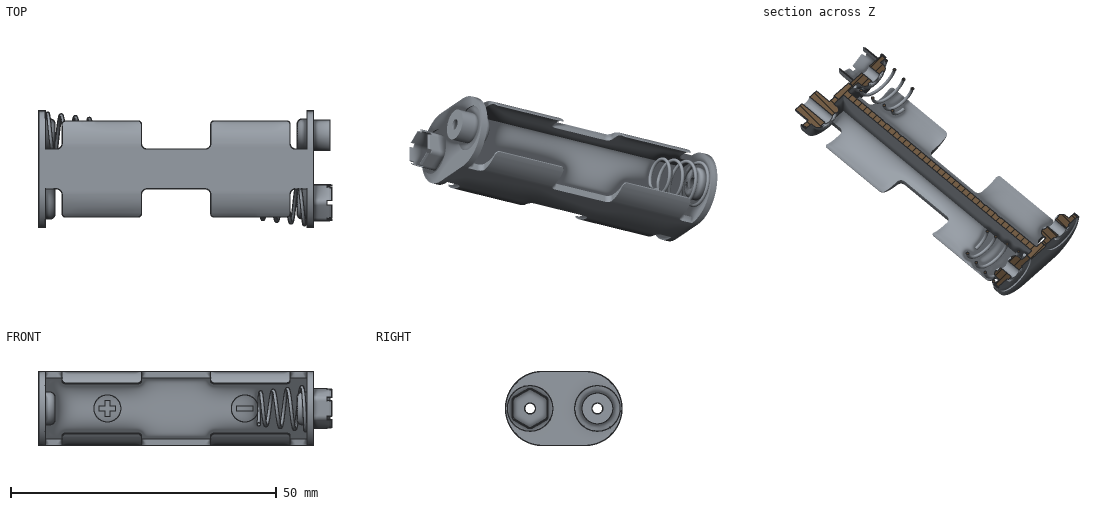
import cadquery as cq
import math


length = 51.82
height = 14.0
width = 22.0
wall = 1.27
cell_spacing = 12.7

cell_y = cell_spacing / 2
end_radius = height / 2
end_center_y = width / 2 - end_radius
flange_inner_z = height / 2 - wall

waist_half_width = 3.77
clip_length = 15.0
clip_half_width = 9.08
clip_end_gap = 4.4
clip_root_radius = 1.0
clip_corner_radius = 0.7
clip_lip = 0.17
clip_bend_y = 6.05

mark_diameter = 5.1
mark_depth = 0.1
mark_bar_length = 3.1
mark_bar_width = 0.9
groove_start_x = 20.75
groove_end_x = 33.4
groove_width = 1.14
groove_depth = 0.3

barrel_radius = 4.3
dome_radius = 3.1
dome_height = 1.85
dome_round = 1.05
bore_radius = 1.0
barrel_recess = 0.25
rim_radius = 2.0
rim_valley_radius = 1.3
rim_point_count = 36
rim_depth = 0.25

wire_radius = 0.31
spring_tip_height = 9.05
spring_seat_height = 0.27
spring_tip_radius = 3.0
spring_seat_radius = 4.1
tip_ramp_turns = 1.0
full_pitch_turns = 2.5
seat_ramp_turns = 0.5
seat_flat_turns = 0.25
points_per_turn = 16

stud_radius = 2.9
stud_length = 3.13
socket_length = 3.45
socket_apothem = 3.42
socket_corner_radius = 1.0
socket_wall = 0.22
socket_slit_width = 0.8
socket_slit_depth = 0.87
socket_tip_chamfer_length = 0.45
socket_tip_chamfer = 0.1
hexagon_sides = 6


def flange_half():
    """One half of a flange: flat beside the web, then curling down to a thin lip."""
    rim_offset = clip_half_width - end_center_y
    rim_z = math.sqrt(end_radius ** 2 - rim_offset ** 2)
    half_angle = math.asin(rim_offset / end_radius) / 2
    outer_middle = (
        end_center_y + end_radius * math.sin(half_angle),
        end_radius * math.cos(half_angle),
    )
    lip_z = rim_z - clip_lip
    reach = clip_half_width - clip_bend_y
    drop = flange_inner_z - lip_z
    inner_radius = (reach ** 2 + drop ** 2) / (2 * drop)
    inner_half_angle = math.asin(reach / inner_radius) / 2
    inner_middle = (
        clip_bend_y + inner_radius * math.sin(inner_half_angle),
        flange_inner_z - inner_radius * (1 - math.cos(inner_half_angle)),
    )
    return (
        cq.Workplane("YZ")
        .moveTo(0, end_radius)
        .lineTo(end_center_y, end_radius)
        .threePointArc(outer_middle, (clip_half_width, rim_z))
        .lineTo(clip_half_width, lip_z)
        .threePointArc(inner_middle, (clip_bend_y, flange_inner_z))
        .lineTo(0, flange_inner_z)
        .close()
        .extrude(length)
    )


def flange_plan():
    """Outline of the flanges from above: a narrow waist with two pairs of clips."""
    waist = cq.Workplane("XY").box(length, 2 * waist_half_width, height).translate((length / 2, 0, 0))
    plan = waist
    clip_offset = length / 2 - clip_end_gap - clip_length / 2
    for side in (-1, 1):
        clip_x = length / 2 + side * clip_offset
        clip = cq.Workplane("XY").box(clip_length, 2 * clip_half_width, height)
        plan = plan.union(clip.translate((clip_x, 0, 0)))
    waist_zone = cq.selectors.BoxSelector(
        (clip_end_gap / 2, -end_center_y, -height), (length - clip_end_gap / 2, end_center_y, height)
    )
    plan = plan.edges("|Z").edges(waist_zone).fillet(clip_root_radius)
    return plan.edges("|Z").edges("<Y or >Y").fillet(clip_corner_radius)


def end_plate(start_x):
    return (
        cq.Workplane("YZ")
        .slot2D(width, height)
        .extrude(wall)
        .translate((start_x, 0, 0))
    )


def mark_recess(center_x, bar_angles):
    """Shallow round recess in the web, with the polarity bars left standing in it."""
    recess = (
        cq.Workplane("XZ", origin=(center_x, -wall / 2, 0))
        .circle(mark_diameter / 2)
        .extrude(-mark_depth)
    )
    for angle in bar_angles:
        bar = (
            cq.Workplane("XZ", origin=(center_x, -wall / 2, 0))
            .transformed(rotate=(0, 0, angle))
            .rect(mark_bar_length, mark_bar_width)
            .extrude(-mark_depth)
        )
        recess = recess.cut(bar)
    return recess


def floor_groove():
    """Shallow groove in the lower flange, along the foot of the web."""
    return cq.Workplane("XY").box(
        groove_end_x - groove_start_x, groove_width, groove_depth, centered=False
    ).translate((groove_start_x, -wall / 2 - groove_width, -flange_inner_z - groove_depth))


def make_housing():
    half = flange_half()
    upper_flange = half.union(half.mirror("XZ"))
    flanges = upper_flange.union(upper_flange.mirror("XY")).intersect(flange_plan())
    web = cq.Workplane("XY").box(length, wall, height).translate((length / 2, 0, 0))
    body = flanges.union(web)
    for start_x in (0, length - wall):
        body = body.union(end_plate(start_x))
    body = body.cut(mark_recess(length / 4, (0, 90)))
    body = body.cut(mark_recess(length * 3 / 4, (0,)))
    body = body.cut(floor_groove())
    barrel_holes = (
        cq.Workplane("YZ")
        .pushPoints([(-cell_y, 0), (cell_y, 0)])
        .circle(barrel_radius)
        .extrude(length)
    )
    between_plates = cq.Workplane("XY").box(length - 2 * wall, width, height).translate((length / 2, 0, 0))
    return body.cut(barrel_holes.cut(between_plates))


def rim_star(start_x, depth):
    """Star-shaped prism around the bore, from start_x along +X."""
    points = []
    for i in range(2 * rim_point_count):
        angle = math.pi * i / rim_point_count
        radius = rim_radius if i % 2 == 0 else rim_valley_radius
        points.append((radius * math.cos(angle), radius * math.sin(angle)))
    return cq.Workplane("YZ", origin=(start_x, 0, 0)).polyline(points).close().extrude(depth)


def contact_head():
    """Barrel through the end plate, with a rounded button facing the cell."""
    barrel = (
        cq.Workplane("YZ", origin=(barrel_recess - wall, 0, 0))
        .circle(barrel_radius)
        .extrude(wall - barrel_recess)
    )
    dome = cq.Workplane("YZ").circle(dome_radius).extrude(dome_height).faces(">X").edges().fillet(dome_round)
    return barrel.union(dome).cut(rim_star(dome_height - rim_depth, rim_depth))


def bore(contact, depth_outside):
    """Through hole along the contact, from its outer end to the top of the button."""
    start = -wall - depth_outside
    hole = cq.Workplane("YZ", origin=(start, 0, 0)).circle(bore_radius).extrude(dome_height - start)
    return contact.cut(hole)


def add_outer_rim(contact):
    """Raised star-shaped rim on the barrel's outer face, level with the end plate."""
    return contact.union(rim_star(-wall, barrel_recess))


def spring_drop(turn):
    """Distance along the axis from the spring's tip after a number of turns, in full pitches."""
    ramp_end = tip_ramp_turns + full_pitch_turns
    if turn <= tip_ramp_turns:
        return turn ** 2 / (2 * tip_ramp_turns)
    if turn <= ramp_end:
        return turn - tip_ramp_turns / 2
    past = min(turn - ramp_end, seat_ramp_turns)
    return ramp_end - tip_ramp_turns / 2 + past - past ** 2 / (2 * seat_ramp_turns)


def spring_point(turn):
    """Wire centre on the conical spring; the tip starts below the axis."""
    total_turns = tip_ramp_turns + full_pitch_turns + seat_ramp_turns
    share = spring_drop(turn) / spring_drop(total_turns)
    radius = spring_tip_radius + share * (spring_seat_radius - spring_tip_radius)
    angle = 2 * math.pi * turn
    return cq.Vector(
        spring_tip_height - share * (spring_tip_height - spring_seat_height),
        -radius * math.sin(angle),
        -radius * math.cos(angle),
    )


def spring():
    total_turns = tip_ramp_turns + full_pitch_turns + seat_ramp_turns + seat_flat_turns
    count = round(total_turns * points_per_turn)
    points = [spring_point(i / points_per_turn) for i in range(count + 1)]
    center_line = cq.Edge.makeSpline(points)
    path = cq.Workplane("XY").newObject([cq.Wire.assembleEdges([center_line])])
    start_plane = cq.Plane(origin=points[0], xDir=(1, 0, 0), normal=center_line.tangentAt(0))
    return cq.Workplane(start_plane).circle(wire_radius).sweep(path, isFrenet=True)


def make_button_contact():
    return bore(add_outer_rim(contact_head()), 0)


def make_spring_contact():
    return make_button_contact().union(spring())


def make_stud_contact():
    stud = cq.Workplane("YZ", origin=(barrel_recess - wall, 0, 0))
    stud = stud.circle(stud_radius).extrude(-stud_length - barrel_recess)
    return bore(contact_head().union(stud), stud_length)


def hexagonal_prism(apothem, corner_radius):
    """Rounded hexagonal prism from the barrel's outer face to the socket's tip."""
    corner_diameter = 2 * apothem / math.cos(math.pi / hexagon_sides)
    return (
        cq.Workplane("YZ", origin=(barrel_recess - wall, 0, 0))
        .transformed(rotate=(0, 0, 90))
        .polygon(hexagon_sides, corner_diameter)
        .extrude(-socket_length - barrel_recess)
        .edges("|X")
        .fillet(corner_radius)
    )


def make_socket_contact():
    """Spring contact with a snap socket: a thin hexagonal cup, slit at its corners into six petals."""
    cup = hexagonal_prism(socket_apothem, socket_corner_radius)
    cup = cup.faces("<X").chamfer(socket_tip_chamfer_length, socket_tip_chamfer)
    cup = cup.cut(hexagonal_prism(socket_apothem - socket_wall, socket_corner_radius - socket_wall))
    slit = (
        cq.Workplane("XY")
        .box(socket_slit_depth, socket_slit_width, 4 * socket_apothem)
        .translate((-wall - socket_length + socket_slit_depth / 2, 0, 0))
    )
    for i in range(hexagon_sides // 2):
        cup = cup.cut(slit.rotate((0, 0, 0), (1, 0, 0), i * 360 / hexagon_sides))
    return bore(contact_head(), 0).union(cup).union(spring())


def at_left(contact, side):
    return contact.translate((wall, side * cell_y, 0))


def at_right(contact, side):
    turned = contact.rotate((0, 0, 0), (0, 0, 1), 180)
    return turned.translate((length - wall, side * cell_y, 0))


front_side = -1
back_side = 1
housing = make_housing()
button_contact = at_left(make_button_contact(), front_side)
spring_contact = at_left(make_spring_contact(), back_side)
stud_contact = at_right(make_stud_contact(), back_side)
socket_contact = at_right(make_socket_contact(), front_side)

result = cq.Compound.makeCompound([
    housing.val(),
    button_contact.val(),
    spring_contact.val(),
    stud_contact.val(),
    socket_contact.val(),
])